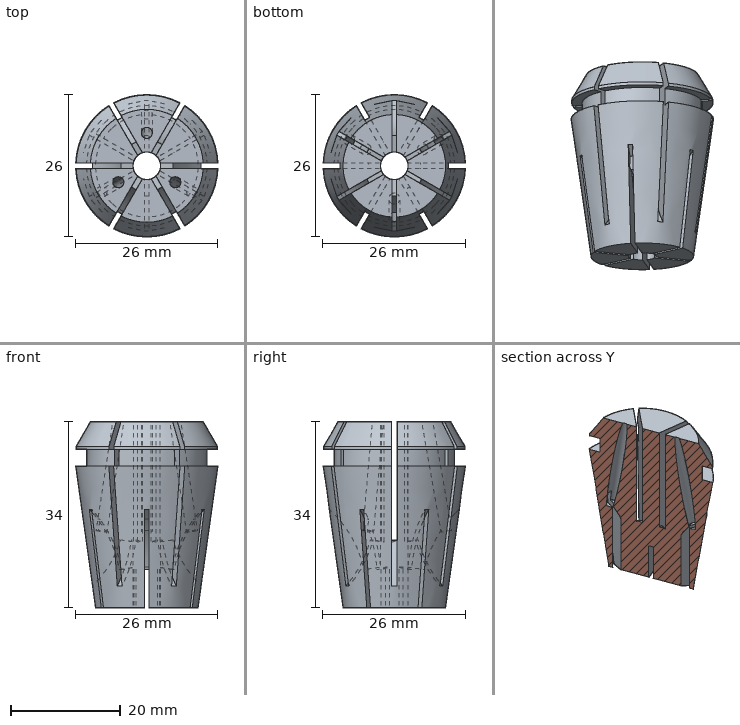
import math

import cadquery as cq

TOTAL_HEIGHT = 34.0
BODY_RADIUS = 13.0
TAPER_ANGLE = 8.0
SHOULDER_Z = 25.9
BORE_DIAMETER = 5.0

GROOVE_RADIUS = 11.0
LIP_Z = 28.95
LIP_HEIGHT = 0.55
LIP_RADIUS = 12.9
NOSE_ANGLE = 30.0

SLOTS_PER_END = 6
SLOT_PITCH = 360.0 / SLOTS_PER_END
SLOT_FLOOR_ANGLE = TAPER_ANGLE
SAW_RADIUS = 20.0
SLOT_REACH = BODY_RADIUS + 2.0
CUT_MARGIN = 1.0

NOSE_SLOT_WIDTH = 1.0
NOSE_SLOT_OUTER_RADIUS = 10.0
NOSE_SLOT_OUTER_Z = 3.92
NOSE_SLOT_INNER_RADIUS = 4.75
NOSE_SLOT_INNER_Z = 12.4
REAR_SLOT_WIDTH = 0.8
REAR_SLOT_OUTER_RADIUS = 12.0
REAR_SLOT_OUTER_Z = 18.1
REAR_SLOT_INNER_RADIUS = 5.55
REAR_SLOT_INNER_Z = 7.0

HOLE_COUNT = 3
HOLE_DIAMETER = 2.0
HOLE_PITCH_RADIUS = 6.0
HOLE_TILT = 10.0
HOLE_DEPTH = 20.3
HOLE_START_ANGLE = 90.0


def tangent(degrees):
    return math.tan(math.radians(degrees))


def make_body():
    """Revolved body with taper, extraction groove, nose cone and bore."""
    rear_radius = BODY_RADIUS - SHOULDER_Z * tangent(TAPER_ANGLE)
    lip_top_z = LIP_Z + LIP_HEIGHT
    nose_radius = LIP_RADIUS - (TOTAL_HEIGHT - lip_top_z) * tangent(NOSE_ANGLE)
    bore_radius = BORE_DIAMETER / 2
    return (
        cq.Workplane("XZ")
        .moveTo(bore_radius, 0)
        .lineTo(rear_radius, 0)
        .lineTo(BODY_RADIUS, SHOULDER_Z)
        .lineTo(GROOVE_RADIUS, SHOULDER_Z)
        .lineTo(GROOVE_RADIUS, LIP_Z)
        .lineTo(LIP_RADIUS, LIP_Z)
        .lineTo(LIP_RADIUS, lip_top_z)
        .lineTo(nose_radius, TOTAL_HEIGHT)
        .lineTo(bore_radius, TOTAL_HEIGHT)
        .close()
        .revolve(360, (0, 0, 0), (0, 1, 0))
    )


def saw_arc_middle(start, end, side):
    """Middle point of a saw arc; side is +1 or -1 for a bulge up or down."""
    span_r = end[0] - start[0]
    span_z = end[1] - start[1]
    chord = math.hypot(span_r, span_z)
    bulge = SAW_RADIUS - math.sqrt(SAW_RADIUS**2 - (chord / 2) ** 2)
    middle_r = (start[0] + end[0]) / 2 - bulge * abs(span_z) / chord
    middle_z = (start[1] + end[1]) / 2 + side * bulge * abs(span_r) / chord
    return middle_r, middle_z


def make_slot(width, outer, inner, floor_slope, open_z, side):
    """Cutter along +X: a curved end that runs into a straight end at the bore."""
    outer_z = outer[1]
    inner_radius, inner_z = inner
    axis_z = inner_z - inner_radius * tangent(floor_slope)
    return (
        cq.Workplane("XZ", origin=(0, width / 2, 0))
        .moveTo(SLOT_REACH, open_z)
        .lineTo(SLOT_REACH, outer_z)
        .lineTo(*outer)
        .threePointArc(saw_arc_middle(outer, inner, side), inner)
        .lineTo(0, axis_z)
        .lineTo(0, open_z)
        .close()
        .extrude(width)
    )


def cut_around(part, cutter, count, start_angle):
    """Cut copies of a cutter, equally spaced about the Z axis."""
    for index in range(count):
        angle = start_angle + index * 360.0 / count
        part = part.cut(cutter.rotate((0, 0, 0), (0, 0, 1), angle))
    return part


def make_tilted_hole():
    """Cutter in the XZ plane that moves away from the axis as it descends."""
    tilt = math.radians(HOLE_TILT)
    downward = cq.Vector(math.sin(tilt), 0, -math.cos(tilt))
    mouth = cq.Vector(HOLE_PITCH_RADIUS, 0, TOTAL_HEIGHT)
    hole = cq.Solid.makeCylinder(
        HOLE_DIAMETER / 2,
        HOLE_DEPTH + CUT_MARGIN,
        mouth - downward * CUT_MARGIN,
        downward,
    )
    return cq.Workplane(hole)


nose_slot = make_slot(
    NOSE_SLOT_WIDTH,
    (NOSE_SLOT_OUTER_RADIUS, NOSE_SLOT_OUTER_Z),
    (NOSE_SLOT_INNER_RADIUS, NOSE_SLOT_INNER_Z),
    SLOT_FLOOR_ANGLE,
    TOTAL_HEIGHT + CUT_MARGIN,
    side=-1,
)
rear_slot = make_slot(
    REAR_SLOT_WIDTH,
    (REAR_SLOT_OUTER_RADIUS, REAR_SLOT_OUTER_Z),
    (REAR_SLOT_INNER_RADIUS, REAR_SLOT_INNER_Z),
    -SLOT_FLOOR_ANGLE,
    -CUT_MARGIN,
    side=1,
)

collet = make_body()
collet = cut_around(collet, nose_slot, SLOTS_PER_END, 0)
collet = cut_around(collet, rear_slot, SLOTS_PER_END, SLOT_PITCH / 2)
collet = cut_around(collet, make_tilted_hole(), HOLE_COUNT, HOLE_START_ANGLE)

result = cq.Workplane(collet.solids().val())